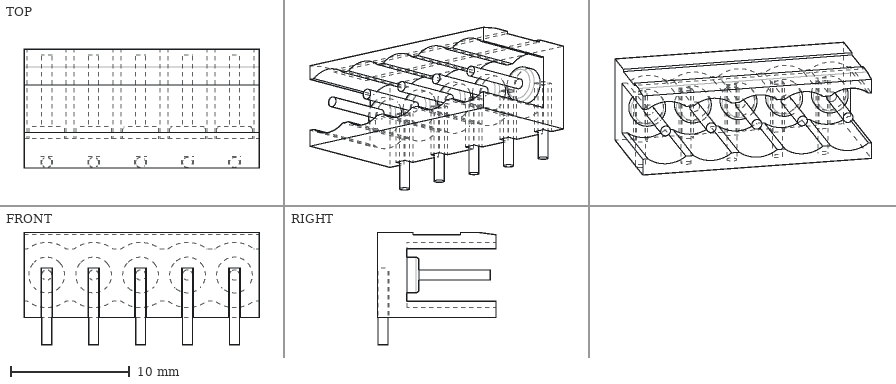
import cadquery as cq

length = 19.82
depth = 10.0
height = 7.2

channel_front = 3.01
channel_rear = 7.0
channel_depth = 0.2
bevel_run = 1.49
bevel_drop = 0.2

cavity_height = 4.4
front_wall = 2.5
axis_height = height / 2
bore_diameter = 5.5

contact_count = 5
contact_span = 15.82
contact_pitch = contact_span / (contact_count - 1)
row_offset = -0.1
contact_xs = [
    row_offset - contact_span / 2 + i * contact_pitch
    for i in range(contact_count)
]
pin_diameter = 0.85
pin_rear_gap = 0.5
collar_diameter = 3.01
collar_length = 1.01
collar_rounding = 0.25

tail_y = 0.48
tail_drop = 2.3
slot_width = 1.0
slot_depth = 1.0
slot_top = 4.2


def make_block():
    """Extrude the side profile along the length of the housing."""
    floor = height - channel_depth
    outline = [
        (0, 0),
        (depth, 0),
        (depth, height - bevel_drop),
        (depth - bevel_run, height),
        (channel_rear, height),
        (channel_rear, floor),
        (channel_front, floor),
        (channel_front, height),
        (0, height),
    ]
    return cq.Workplane("YZ").polyline(outline).close().extrude(length / 2, both=True)


def cylinder_to_rear(x, diameter, cylinder_length):
    """Cylinder from the front wall toward +Y on the contact axis at x."""
    return (
        cq.Workplane("XZ", origin=(x, front_wall, axis_height))
        .circle(diameter / 2)
        .extrude(-cylinder_length)
    )


def make_slot(x):
    """Cutter for one tail slot, open at the front and underside."""
    return cq.Workplane("XY").box(
        slot_width, slot_depth, slot_top, centered=(True, False, False)
    ).translate((x, 0, 0))


def make_collar(x):
    """Collar at the root of a contact pin, rounded at its free end."""
    collar = cylinder_to_rear(x, collar_diameter, collar_length)
    return collar.faces(">Y").edges().fillet(collar_rounding)


def make_tail(x):
    """Solder tail hanging from the top of its slot."""
    return (
        cq.Workplane("XY", origin=(x, tail_y, -tail_drop))
        .circle(pin_diameter / 2)
        .extrude(tail_drop + slot_top)
    )


cavity_depth = depth - front_wall
cavity = cq.Workplane("XY").box(length, cavity_depth, cavity_height).translate(
    (0, front_wall + cavity_depth / 2, axis_height)
)
result = make_block().cut(cavity)

for x in contact_xs:
    result = result.cut(cylinder_to_rear(x, bore_diameter, cavity_depth))
    result = result.cut(make_slot(x))

for x in contact_xs:
    result = result.union(make_collar(x))
    result = result.union(cylinder_to_rear(x, pin_diameter, cavity_depth - pin_rear_gap))
    result = result.union(make_tail(x))